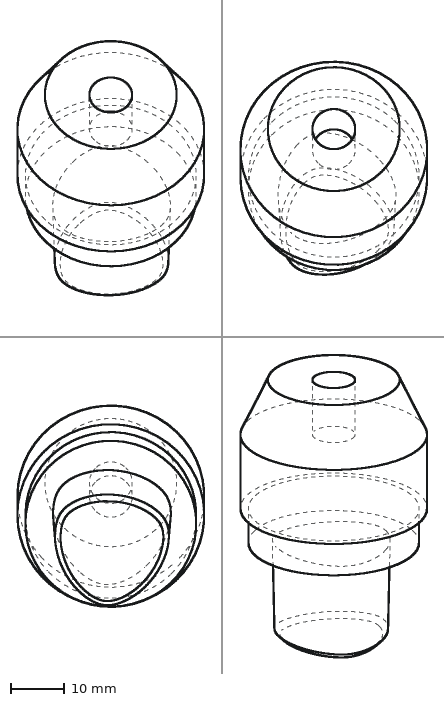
import cadquery as cq
import math

shank_height = 19.05
collar_height = 6.95
body_height = 15.0
nose_height = 11.0

collar_diameter = 32.0
body_diameter = 35.0
nose_tip_diameter = 24.7

bore_diameter = 8.0
bore_depth = nose_height

shank_root_radius = 11.0
shank_end_radius = 10.65
shank_chamfer = 1.05
lobe_amplitude = 0.7
lobe_count = 3
outline_points = 72

collar_top = shank_height + collar_height
body_top = collar_top + body_height
total_height = body_top + nose_height


def lobed_outline(mean_radius, z):
    """Constant-width outline with one lobe pointing along +X."""

    def point(turn):
        angle = 2 * math.pi * turn
        support = mean_radius + lobe_amplitude * math.cos(lobe_count * angle)
        slope = -lobe_count * lobe_amplitude * math.sin(lobe_count * angle)
        return cq.Vector(
            support * math.cos(angle) - slope * math.sin(angle),
            support * math.sin(angle) + slope * math.cos(angle),
            z,
        )

    points = [point(i / outline_points) for i in range(outline_points)]
    return cq.Wire.assembleEdges([cq.Edge.makeSpline(points, periodic=True)])


def make_shank():
    """Tapered shank with a chamfered lower edge."""
    end = lobed_outline(shank_end_radius - shank_chamfer, 0)
    chamfer_top = lobed_outline(shank_end_radius, shank_chamfer)
    root = lobed_outline(shank_root_radius, shank_height)
    return cq.Workplane(cq.Solid.makeLoft([end, chamfer_top, root], True))


def make_head():
    """Collar, cylindrical body and conical nose, turned about Z."""
    collar_radius = collar_diameter / 2
    body_radius = body_diameter / 2
    profile = [
        (0, shank_height),
        (collar_radius, shank_height),
        (collar_radius, collar_top),
        (body_radius, collar_top),
        (body_radius, body_top),
        (nose_tip_diameter / 2, total_height),
        (0, total_height),
    ]
    return cq.Workplane("XZ").polyline(profile).close().revolve(360, (0, 0), (0, 1))


def make_bore():
    """Cutter for the blind bore in the nose."""
    floor = cq.Workplane("XY").workplane(offset=total_height - bore_depth)
    return floor.circle(bore_diameter / 2).extrude(bore_depth)


result = make_head().union(make_shank()).cut(make_bore())